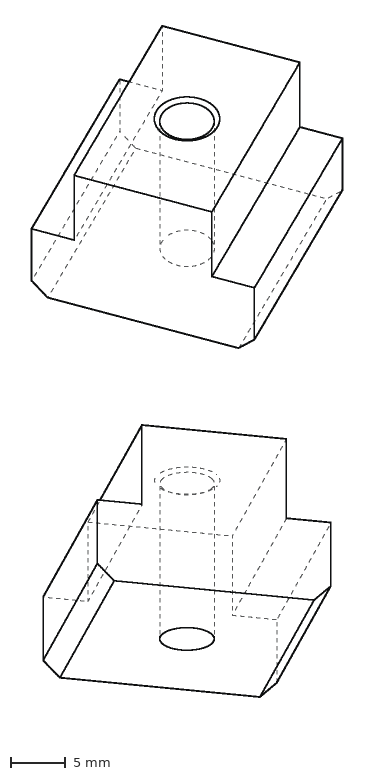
import cadquery as cq

width = 22.0
length = 22.0
height = 16.0

base_height = height / 2
stem_width = 13.6
edge_chamfer = 1.58

hole_diameter = 5.0
countersink_diameter = 6.0
countersink_angle = 120.0


def make_base():
    """Wide lower block with its two long bottom edges chamfered."""
    block = cq.Workplane("XY").box(width, length, base_height, centered=(True, True, False))
    return block.faces("<Z").edges("|Y").chamfer(edge_chamfer)


def add_stem(body):
    """Narrower full-length stem standing on the base."""
    stem_height = height - base_height
    return body.faces(">Z").workplane().rect(stem_width, length).extrude(stem_height)


def cut_hole(body):
    """Countersunk through hole in the middle of the stem."""
    return body.faces(">Z").workplane().cskHole(hole_diameter, countersink_diameter, countersink_angle)


result = cut_hole(add_stem(make_base()))